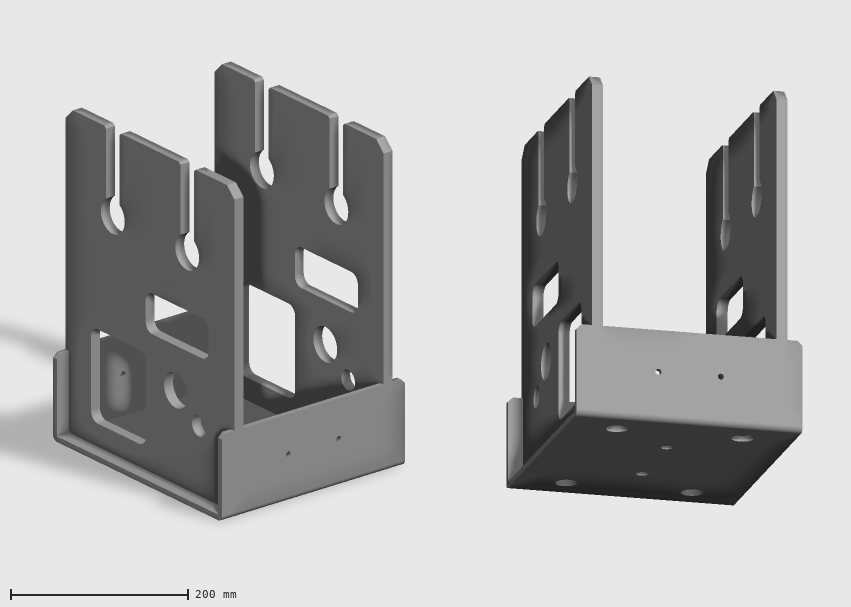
import cadquery as cq

WIDTH = 306.0
DEPTH = 264.5
SHEET = 7.0
BEND_RADIUS = 7.0
WALL_HEIGHT = 107.0
WALL_CORNER_CHAMFER = 5.5
NOTCH_DEPTH = 11.7

FLOOR_HOLE_DIAMETER = 25.5
FLOOR_HOLE_SPACING_X = 221.0
FLOOR_HOLE_SPACING_Y = 147.0
CENTRE_HOLE_DIAMETER = 13.7
CENTRE_HOLE_SPACING = 107.5
WALL_HOLE_DIAMETER = 7.0
WALL_HOLE_SPACING = 73.0
WALL_HOLE_HEIGHT = 57.7

TOTAL_HEIGHT = 403.5
PLATE_THICKNESS = 13.0
PLATE_OFFSET = 107.8
TOP_CHAMFER = 13.5
FOOT_CHAMFER = 3.2

KEYHOLE_SPACING = 135.0
KEYHOLE_DIAMETER = 43.0
KEYHOLE_HEIGHT = 297.5
SLOT_WIDTH = 24.5
SLOT_MOUTH_CHAMFER = 3.0

WIDE_WINDOW_CENTRE = (49.3, 201.5)
WIDE_WINDOW_SIZE = (114.2, 49.5)
TALL_WINDOW_CENTRE = (-57.0, 92.5)
TALL_WINDOW_SIZE = (99.5, 115.5)
WINDOW_CORNER_RADIUS = 12.0

LARGE_HOLE_CENTRE = (47.2, 122.0)
LARGE_HOLE_DIAMETER = 43.0
SMALL_HOLE_CENTRE = (89.0, 91.5)
SMALL_HOLE_DIAMETER = 25.0

INNER_WIDTH = WIDTH - 2 * SHEET
NOTCH_FLOOR = WALL_HEIGHT - NOTCH_DEPTH


def box_on(width, depth, bottom, top, y=0):
    """Box centred on x = 0 and on the given y, between two heights."""
    return (
        cq.Workplane("XY", origin=(0, y, bottom))
        .box(width, depth, top - bottom, centered=(True, True, False))
    )


def channel():
    """U-shaped channel with notched walls and mounting holes."""
    body = box_on(WIDTH, DEPTH, 0, WALL_HEIGHT)
    body = body.edges("|Y and <Z").fillet(BEND_RADIUS)
    body = body.cut(box_on(INNER_WIDTH, DEPTH, SHEET, WALL_HEIGHT))
    body = body.edges("|X and >Z").chamfer(WALL_CORNER_CHAMFER)

    for side in (-1, 1):
        y = side * PLATE_OFFSET
        body = body.cut(box_on(WIDTH, PLATE_THICKNESS, NOTCH_FLOOR, WALL_HEIGHT, y))

    floor_holes = (
        cq.Workplane("XY")
        .rarray(FLOOR_HOLE_SPACING_X, FLOOR_HOLE_SPACING_Y, 2, 2)
        .circle(FLOOR_HOLE_DIAMETER / 2)
        .extrude(SHEET)
    )
    centre_holes = (
        cq.Workplane("XY")
        .rarray(CENTRE_HOLE_SPACING, 4, 2, 1)
        .circle(CENTRE_HOLE_DIAMETER / 2)
        .extrude(SHEET)
    )
    wall_holes = (
        cq.Workplane("YZ", origin=(0, 0, WALL_HOLE_HEIGHT))
        .rarray(WALL_HOLE_SPACING, 4, 2, 1)
        .circle(WALL_HOLE_DIAMETER / 2)
        .extrude(WIDTH / 2, both=True)
    )
    return body.cut(floor_holes).cut(centre_holes).cut(wall_holes)


def sketch_on_plate(y, x, z):
    """Sketch plane through the mid-thickness of a plate, centred on a point of its face."""
    return cq.Workplane("XZ", origin=(x, y, z))


def through_plate(sketch):
    """Cutting tool that passes through the plate thickness."""
    return sketch.extrude(PLATE_THICKNESS / 2, both=True)


def plate_blank(y):
    """Plate that fits between the walls and widens above the notch floor."""
    foot = box_on(INNER_WIDTH, PLATE_THICKNESS, SHEET, NOTCH_FLOOR, y)
    foot = foot.edges("|Y and <Z").chamfer(FOOT_CHAMFER)
    upper = box_on(WIDTH, PLATE_THICKNESS, NOTCH_FLOOR, TOTAL_HEIGHT, y)
    upper = upper.edges("|Y and >Z").chamfer(TOP_CHAMFER)
    return foot.union(upper)


def keyhole(x, y):
    """Round hole joined to a slot that opens, with a flared mouth, at the plate top."""
    rise = TOTAL_HEIGHT - KEYHOLE_HEIGHT
    half_slot = SLOT_WIDTH / 2
    half_mouth = half_slot + SLOT_MOUTH_CHAMFER
    slot_outline = [
        (-half_slot, 0),
        (half_slot, 0),
        (half_slot, rise - SLOT_MOUTH_CHAMFER),
        (half_mouth, rise),
        (-half_mouth, rise),
        (-half_slot, rise - SLOT_MOUTH_CHAMFER),
    ]
    slot = through_plate(sketch_on_plate(y, x, KEYHOLE_HEIGHT).polyline(slot_outline).close())
    return slot.union(round_hole((x, KEYHOLE_HEIGHT), KEYHOLE_DIAMETER, y))


def window(centre, size, y):
    """Rectangular opening with rounded corners."""
    opening = through_plate(sketch_on_plate(y, *centre).rect(*size))
    return opening.edges("|Y").fillet(WINDOW_CORNER_RADIUS)


def round_hole(centre, diameter, y):
    return through_plate(sketch_on_plate(y, *centre).circle(diameter / 2))


def plate(y):
    body = plate_blank(y)
    for side in (-1, 1):
        body = body.cut(keyhole(side * KEYHOLE_SPACING / 2, y))
    body = body.cut(window(WIDE_WINDOW_CENTRE, WIDE_WINDOW_SIZE, y))
    body = body.cut(window(TALL_WINDOW_CENTRE, TALL_WINDOW_SIZE, y))
    body = body.cut(round_hole(LARGE_HOLE_CENTRE, LARGE_HOLE_DIAMETER, y))
    body = body.cut(round_hole(SMALL_HOLE_CENTRE, SMALL_HOLE_DIAMETER, y))
    return body


base = channel()
plates = [plate(side * PLATE_OFFSET) for side in (-1, 1)]

result = cq.Compound.makeCompound([base.val(), *[body.val() for body in plates]])